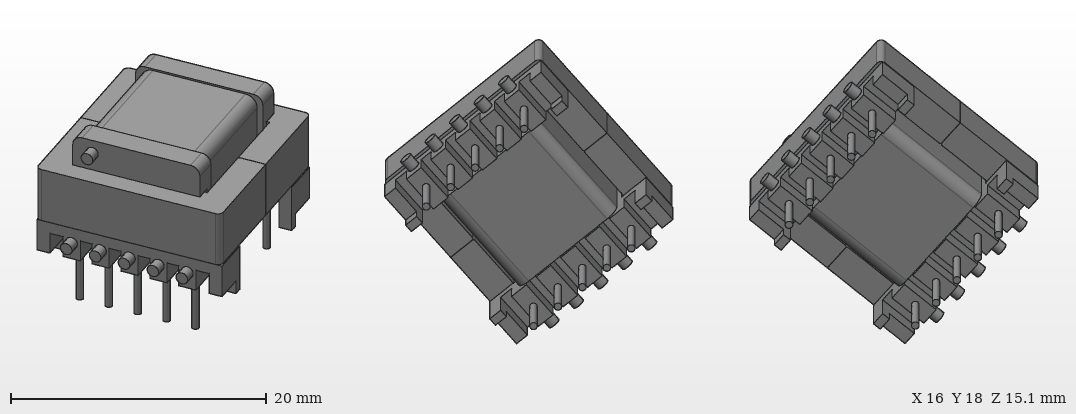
import cadquery as cq


core_width = 16.0
core_length = 16.4
core_height = 4.7
core_window_width = 11.27
core_window_length = 11.4
core_gap = 0.02
core_corner_radius = 0.47
leg_edge_radius = 0.13
center_leg_width = core_height

tube_opening = 5.0
tube_wall = 0.67
tube_outer = tube_opening + 2 * tube_wall
winding_size = 10.03
winding_center_z = 0.05
winding_radius = 1.0

flange_width = 11.0
flange_thickness = 0.7
flange_length = 10.89
flange_top = 5.22
flange_radius = 0.81
flange_inner_y = flange_length / 2 - flange_thickness
hood_length = 13.5
hood_bottom = tube_opening / 2

rail_length = 16.0
rail_top = -tube_opening / 2
rail_bottom = -3.5
post_bottom = -5.33
post_width = 1.5
foot_width = 1.12
foot_bottom = -6.5

pin_count = 5
pin_pitch = 2.5
pin_diameter = 0.6
pin_row_spacing = 13.0
pin_bottom = -9.83
stub_diameter = 1.0
stub_span = 18.0
stub_z = -3.87
marker_diameter = 1.0
marker_length = 1.0
marker_x = -3.8
marker_z = 4.07

pin_positions = [(index - (pin_count - 1) / 2) * pin_pitch for index in range(pin_count)]


def wide_block(width, y_min, y_max, z_min, z_max):
    """A block centred on X = 0."""
    corner = (-width / 2, y_min, z_min)
    size = (width, y_max - y_min, z_max - z_min)
    return cq.Workplane("XY").box(*size, centered=False).translate(corner)


def y_cylinder(diameter, x, z, y_min, y_max):
    """A cylinder along Y."""
    return cq.Workplane("XZ", origin=(x, y_min, z)).circle(diameter / 2).extrude(y_min - y_max)


def at_both_ends(part):
    """The part together with its mirror image at the -Y end."""
    return [part, part.mirror("XZ")]


def make_core_half():
    """The +Y half: yoke, two outer legs and the centre leg, ending at the air gap on Y = 0."""
    half_length = core_length / 2
    half_height = core_height / 2
    half_window = core_window_length / 2
    body = wide_block(core_width, core_gap / 2, half_length, -half_height, half_height)
    body = body.faces(">Y").edges("|Z").fillet(core_corner_radius)
    body = body.cut(wide_block(core_window_width, 0, half_window, -half_height, half_height))
    for side in (-1, 1):
        leg_inner_edge = (side * core_window_width / 2, core_gap / 2, 0)
        body = body.edges(cq.NearestToPointSelector(leg_inner_edge)).fillet(leg_edge_radius)
    center_leg = wide_block(center_leg_width, core_gap / 2, half_window, -half_height, half_height)
    return body.union(center_leg)


def make_winding():
    winding = wide_block(
        winding_size,
        -flange_inner_y,
        flange_inner_y,
        winding_center_z - winding_size / 2,
        winding_center_z + winding_size / 2,
    )
    return winding.edges("|Y").fillet(winding_radius)


def make_flange():
    """The +Y flange plate and the hood that reaches outward over the yoke."""
    half_length = flange_length / 2
    plate = wide_block(flange_width, flange_inner_y, half_length, rail_bottom, flange_top)
    hood = wide_block(flange_width, half_length, hood_length / 2, hood_bottom, flange_top)
    plate = plate.faces(">Z").edges("|Y").fillet(flange_radius)
    hood = hood.faces(">Z").edges("|Y").fillet(flange_radius)
    return plate.union(hood)


def make_rail():
    """The +Y rail with its comb of posts and a stepped foot at each corner."""
    outer_y = rail_length / 2
    rail = wide_block(core_width, flange_inner_y, outer_y, rail_bottom, rail_top)
    for x in pin_positions:
        post = wide_block(post_width, flange_inner_y, outer_y, post_bottom, rail_top)
        rail = rail.union(post.translate((x, 0, 0)))
    for side in (-1, 1):
        x = side * (core_width - foot_width) / 2
        foot = wide_block(foot_width, flange_inner_y, outer_y, post_bottom, rail_top)
        toe = wide_block(foot_width, flange_inner_y, flange_length / 2, foot_bottom, post_bottom)
        rail = rail.union(foot.union(toe).translate((x, 0, 0)))
    return rail


def make_terminals():
    """The +Y row: a downward pin and an outward stub on each post."""
    pin_y = pin_row_spacing / 2
    terminals = []
    for x in pin_positions:
        pin = (
            cq.Workplane("XY", origin=(x, pin_y, pin_bottom))
            .circle(pin_diameter / 2)
            .extrude(post_bottom - pin_bottom)
        )
        stub = y_cylinder(stub_diameter, x, stub_z, rail_length / 2, stub_span / 2)
        terminals += [pin, stub]
    return terminals


def make_marker():
    """The peg on the face of the -Y hood."""
    hood_face = -hood_length / 2
    return y_cylinder(marker_diameter, marker_x, marker_z, hood_face - marker_length, hood_face)


def square_bar(size):
    """A square bar through both flanges, on the axis of the centre leg."""
    return wide_block(size, -flange_length / 2, flange_length / 2, -size / 2, size / 2)


def make_bobbin():
    """Winding, tube, flanges, rails and terminals as one body, open along the tube."""
    bobbin = make_winding().union(square_bar(tube_outer))
    for part in [make_flange(), make_rail(), *make_terminals()]:
        for placed in at_both_ends(part):
            bobbin = bobbin.union(placed)
    return bobbin.union(make_marker()).cut(square_bar(tube_opening))


core_halves = at_both_ends(make_core_half())
bobbin = make_bobbin()

result = cq.Compound.makeCompound(
    [*[half.solids().val() for half in core_halves], bobbin.solids().val()]
)